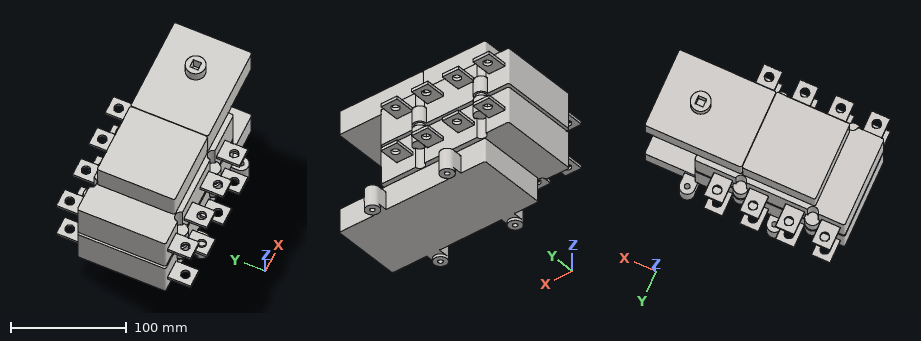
import cadquery as cq

base_bottom = 3.0
base_top = 28.5
switch_height = 38.5
switch_gap = 4.0
lower_switch_top = base_top + switch_height
upper_switch_bottom = lower_switch_top + switch_gap
upper_switch_top = upper_switch_bottom + switch_height
cover_top = 135.0
handle_top = 145.5

switch_length = 142.5
switch_width = 84.2
corner_radius = 2.0

total_length = 192.2
base_start = 30.2
base_width = 74.0
cover_end = 99.8
housing_gap = 0.4

blade_count = 4
blade_pitch = 34.0
first_blade_x = 13.0
blade_span = 128.0
blade_width = 17.9
blade_thickness = 3.3
lower_blade_z = 43.5
upper_blade_z = 91.3
blade_hole_diameter = 8.0
blade_hole_spacing = 110.0

post_xs = [base_start, base_start + 2 * blade_pitch]
post_y = 42.5
lug_radius = 7.0
groove_radius = 5.0
lower_lug_bottom = 49.5
upper_lug_top = 87.6

foot_xs = [64.2, 147.0]
foot_y = 47.0
foot_radius = 7.1
foot_top = 22.1
foot_hole_diameter = 4.8

handle_x = 155.3
handle_radius = 9.0
socket_size = 7.7


def block(x_start, x_end, width, z_bottom, z_top):
    """Box centred on Y = 0."""
    size = (x_end - x_start, width, z_top - z_bottom)
    return cq.Workplane("XY").box(*size, centered=(False, True, False)).translate((x_start, 0, z_bottom))


def rounded_block(x_start, x_end, width, z_bottom, z_top):
    """Box centred on Y = 0 with rounded upright edges."""
    return block(x_start, x_end, width, z_bottom, z_top).edges("|Z").fillet(corner_radius)


def upright_cylinders(points, radius, z_bottom, z_top):
    """One upright cylinder at each (x, y) point."""
    floor = cq.Workplane("XY", origin=(0, 0, z_bottom))
    return floor.pushPoints(points).circle(radius).extrude(z_top - z_bottom)


def both_sides(xs, y):
    """Points at +y and -y for every x."""
    return [(x, side * y) for x in xs for side in (-1, 1)]


def switch_block(z_bottom, z_top, lug_bottom, lug_top, blade_z):
    """Switch block with screw grooves, screw lugs and terminal blades."""
    posts = both_sides(post_xs, post_y)
    switch = rounded_block(0, switch_length, switch_width, z_bottom, z_top)
    switch = switch.cut(upright_cylinders(posts, groove_radius, z_bottom, z_top))
    switch = switch.union(upright_cylinders(posts, lug_radius, lug_bottom, lug_top))
    blade_xs = [first_blade_x + i * blade_pitch for i in range(blade_count)]
    blade_top = blade_z + blade_thickness
    for x in blade_xs:
        switch = switch.union(block(x - blade_width / 2, x + blade_width / 2, blade_span, blade_z, blade_top))
    holes = upright_cylinders(
        both_sides(blade_xs, blade_hole_spacing / 2), blade_hole_diameter / 2, blade_z, blade_top
    )
    return switch.cut(holes)


def mounting_base():
    """Base block on four feet, each foot a round post with a web to the block."""
    points = both_sides(foot_xs, foot_y)
    base = rounded_block(base_start, total_length, base_width, base_bottom, base_top)
    for x in foot_xs:
        base = base.union(block(x - foot_radius, x + foot_radius, 2 * foot_y, base_bottom, foot_top))
    base = base.union(upright_cylinders(points, foot_radius, 0, foot_top))
    return base.cut(upright_cylinders(points, foot_hole_diameter / 2, 0, foot_top))


def link_posts():
    """Round posts that bridge the space between the two switch blocks."""
    points = both_sides(post_xs, post_y)
    return upright_cylinders(points, groove_radius, lower_switch_top, upper_switch_bottom)


def make_enclosure():
    """Base, both switch blocks, cover and mechanism housing as one solid."""
    lower_switch = switch_block(
        base_top, lower_switch_top, lower_lug_bottom, lower_switch_top, lower_blade_z
    )
    upper_switch = switch_block(
        upper_switch_bottom, upper_switch_top, upper_switch_bottom, upper_lug_top, upper_blade_z
    )
    cover = rounded_block(base_start, cover_end, base_width, upper_switch_top, cover_top)
    mechanism_housing = rounded_block(
        cover_end + housing_gap, total_length, base_width, upper_switch_top, cover_top
    )
    enclosure = mounting_base()
    for piece in (lower_switch, link_posts(), upper_switch, cover, mechanism_housing):
        enclosure = enclosure.union(piece)
    return enclosure


def make_handle():
    """Round boss standing on the mechanism housing, with a square socket through it."""
    handle = upright_cylinders([(handle_x, 0)], handle_radius, cover_top, handle_top)
    socket_start = handle_x - socket_size / 2
    return handle.cut(block(socket_start, socket_start + socket_size, socket_size, cover_top, handle_top))


enclosure = make_enclosure()
handle = make_handle()

result = cq.Compound.makeCompound([enclosure.val(), handle.val()])